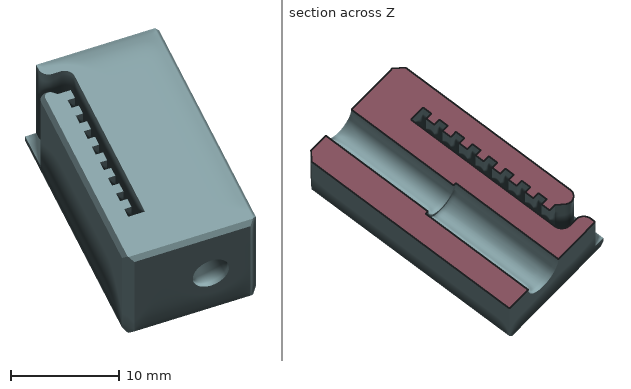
import cadquery as cq
import math

LENGTH = 24.9
WIDTH = 13.3
HEIGHT = 11.0

BEVEL_SIDE = 0.4
BEVEL_DROP = 0.47
CORNER_BEVEL = 0.87

BORE_Y = 8.5
BORE_Z = HEIGHT / 2
BORE_DIAMETER = 3.6
COUNTERBORE_DIAMETER = 4.25
COUNTERBORE_DEPTH = LENGTH / 2

FLOOR_Z = 1.12
LIP_Y = 1.1
MOUTH_X = 1.57
MOUTH_RADIUS = 1.0
BACK_Y = 3.88
TEETH_START = 3.98
TEETH_END = 20.02
TOOTH_COUNT = 8
TOOTH_WIDTH = 1.02
TOOTH_TIP_Y = 2.95
TOOTH_ROOT_Y = 2.22
TOOTH_PITCH = (TEETH_END - TEETH_START) / TOOTH_COUNT

NOSE_RADIUS = 0.9
NOSE_OVERLAP = 0.5


def beveled_block():
    """Block with bevels on its four long edges and around its +X end."""
    block = cq.Workplane("XY").box(LENGTH, WIDTH, HEIGHT, centered=False)
    section = (
        cq.Workplane("YZ")
        .moveTo(BEVEL_SIDE, 0)
        .lineTo(WIDTH - BEVEL_SIDE, 0)
        .lineTo(WIDTH, BEVEL_DROP)
        .lineTo(WIDTH, HEIGHT - BEVEL_DROP)
        .lineTo(WIDTH - BEVEL_SIDE, HEIGHT)
        .lineTo(BEVEL_SIDE, HEIGHT)
        .lineTo(0, HEIGHT - BEVEL_DROP)
        .lineTo(0, BEVEL_DROP)
        .close()
        .extrude(LENGTH)
    )
    side_profile = (
        cq.Workplane("XZ")
        .moveTo(0, 0)
        .lineTo(LENGTH - BEVEL_SIDE, 0)
        .lineTo(LENGTH, BEVEL_DROP)
        .lineTo(LENGTH, HEIGHT - BEVEL_DROP)
        .lineTo(LENGTH - BEVEL_SIDE, HEIGHT)
        .lineTo(0, HEIGHT)
        .close()
        .extrude(-WIDTH)
    )
    plan = block.edges("|Z and >X").chamfer(CORNER_BEVEL)
    return section.intersect(side_profile).intersect(plan)


def channel():
    """Space of the channel, with the teeth left standing on its front wall."""
    outline = (
        cq.Workplane("XY", origin=(0, 0, FLOOR_Z))
        .moveTo(0, 0)
        .lineTo(0, LIP_Y)
        .lineTo(MOUTH_X - MOUTH_RADIUS, LIP_Y)
        .radiusArc((MOUTH_X, LIP_Y + MOUTH_RADIUS), -MOUTH_RADIUS)
        .lineTo(MOUTH_X, BACK_Y - MOUTH_RADIUS)
        .radiusArc((MOUTH_X + MOUTH_RADIUS, BACK_Y), MOUTH_RADIUS)
        .lineTo(TEETH_END, BACK_Y)
        .lineTo(TEETH_END, TOOTH_ROOT_Y)
    )
    for index in reversed(range(TOOTH_COUNT)):
        tooth_left = TEETH_START + index * TOOTH_PITCH
        tooth_right = tooth_left + TOOTH_WIDTH
        outline = (
            outline.lineTo(tooth_right, TOOTH_ROOT_Y)
            .lineTo(tooth_right, TOOTH_TIP_Y)
            .lineTo(tooth_left, TOOTH_TIP_Y)
        )
        if index > 0:
            outline = outline.lineTo(tooth_left, TOOTH_ROOT_Y)
    return outline.lineTo(TEETH_START, 0).close().extrude(HEIGHT - FLOOR_Z)


def nose_outline(plane, radius):
    """Draw the nose section: an arc about the nose center, then a 45 degree flank."""
    diagonal = radius * math.sqrt(0.5)
    arc_end = (TEETH_START - diagonal, NOSE_RADIUS + diagonal)
    back_x = TEETH_START + NOSE_OVERLAP
    back_y = arc_end[1] + back_x - arc_end[0]
    front_y = NOSE_RADIUS - radius
    return (
        plane.moveTo(back_x, front_y)
        .lineTo(TEETH_START, front_y)
        .threePointArc((TEETH_START - radius, NOSE_RADIUS), arc_end)
        .lineTo(back_x, back_y)
        .close()
    )


def nose():
    """Rounded wall end with a 45 degree flank, beveled along its top."""
    bevel_start = HEIGHT - BEVEL_DROP
    floor = cq.Workplane("XY", origin=(0, 0, FLOOR_Z))
    upright = nose_outline(floor, NOSE_RADIUS).extrude(bevel_start - FLOOR_Z)
    bevel_base = nose_outline(cq.Workplane("XY", origin=(0, 0, bevel_start)), NOSE_RADIUS)
    bevel_top = nose_outline(bevel_base.workplane(offset=BEVEL_DROP), NOSE_RADIUS - BEVEL_SIDE)
    return upright.union(bevel_top.loft(ruled=True))


def stepped_bore():
    """Through bore with a wider stretch from the -X end."""
    start = cq.Workplane("YZ").center(BORE_Y, BORE_Z)
    through = start.circle(BORE_DIAMETER / 2).extrude(LENGTH)
    wide = start.circle(COUNTERBORE_DIAMETER / 2).extrude(COUNTERBORE_DEPTH)
    return through.union(wide)


result = beveled_block().cut(channel()).union(nose()).cut(stepped_bore())